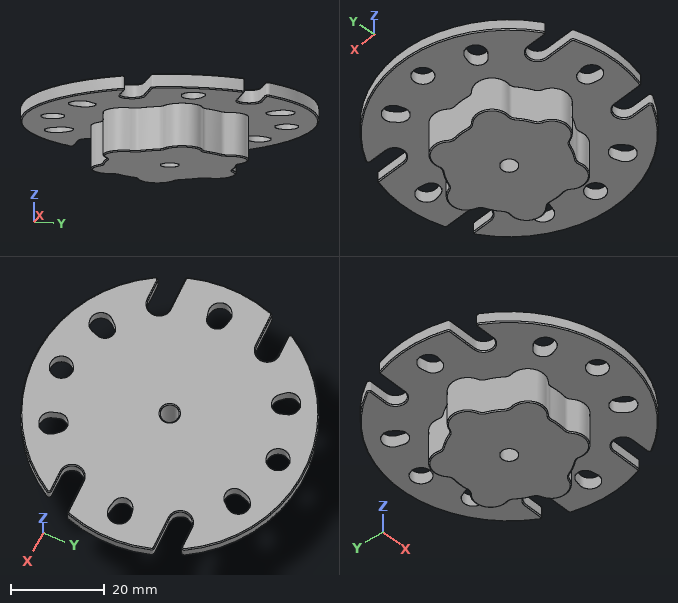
import math

import cadquery as cq

plate_radius = 31.75
plate_thickness = 3.175
total_height = 12.7
boss_height = total_height - plate_thickness
edge_chamfer = 0.254

lobe_count = 6
lobe_pitch = 360 / lobe_count
lobe_circle_radius = 13.1
lobe_radius = 4.36
hub_radius = 14.26
valley_fillet = 1.905

bolt_circle_radius = 25.4
bolt_hole_diameter = 5.08
inner_circle_radius = 24.0
inner_hole_diameter = 4.5
bolt_slot_angles = [i * 60 for i in range(6)]
round_hole_angles = [90, 270]
bore_diameter = 4.04

rim_slot_angles = [30, 150, 210, 330]
rim_slot_width = 5.08
rim_slot_mouth_fillet = 0.635


def polar(radius, angle):
    """Point at the given radius and angle in degrees."""
    turn = math.radians(angle)
    return (radius * math.cos(turn), radius * math.sin(turn))


def cylinder(center, diameter):
    """Vertical cutter through the plate."""
    return cq.Workplane("XY").center(*center).circle(diameter / 2).extrude(plate_thickness)


def rim_slot(angle):
    """Cutter running along X from a round end on the bolt circle out past the rim."""
    end_x, end_y = polar(bolt_circle_radius, angle)
    mouth_x = math.copysign(plate_radius, end_x)
    round_end = cylinder((end_x, end_y), rim_slot_width)
    mouth = (
        cq.Workplane("XY")
        .center((end_x + mouth_x) / 2, end_y)
        .rect(abs(mouth_x - end_x), rim_slot_width)
        .extrude(plate_thickness)
    )
    return round_end.union(mouth)


def make_plate():
    """Round plate with open rim slots, rounded slot mouths and chamfered outer edges."""
    plate = cq.Workplane("XY").circle(plate_radius).extrude(plate_thickness)
    for angle in rim_slot_angles:
        plate = plate.cut(rim_slot(angle))
    slot_end_x = polar(bolt_circle_radius, rim_slot_angles[0])[0]
    for side in (-1, 1):
        mouth_corners = cq.selectors.BoxSelector(
            (side * (slot_end_x + rim_slot_width / 2), -plate_radius, 0),
            (side * (plate_radius - edge_chamfer), plate_radius, plate_thickness),
        )
        plate = plate.edges("|Z").edges(mouth_corners).fillet(rim_slot_mouth_fillet)
    return plate.faces("<Z or >Z").chamfer(edge_chamfer)


def make_boss():
    """Six round lobes around a round hub, blended by concave fillets."""
    fillet_center_radius = hub_radius + valley_fillet
    lobe_to_fillet = lobe_radius + valley_fillet
    cosine = (fillet_center_radius**2 + lobe_circle_radius**2 - lobe_to_fillet**2) / (
        2 * fillet_center_radius * lobe_circle_radius
    )
    hub_end_angle = math.degrees(math.acos(cosine))
    fillet_x, fillet_y = polar(fillet_center_radius, hub_end_angle)
    flank_angle = math.degrees(math.atan2(fillet_y, fillet_x - lobe_circle_radius))
    flank_offset_x, flank_y = polar(lobe_radius, flank_angle)
    flank_x = lobe_circle_radius + flank_offset_x
    flank_radius = math.hypot(flank_x, flank_y)
    flank_end_angle = math.degrees(math.atan2(flank_y, flank_x))
    mid_offset_x, mid_offset_y = polar(valley_fillet, (hub_end_angle + flank_angle) / 2)
    mid_x = fillet_x - mid_offset_x
    mid_y = fillet_y - mid_offset_y
    mid_radius = math.hypot(mid_x, mid_y)
    mid_angle = math.degrees(math.atan2(mid_y, mid_x))

    outline = cq.Workplane("XY").moveTo(*polar(flank_radius, -flank_end_angle))
    for i in range(lobe_count):
        axis = i * lobe_pitch
        following = axis + lobe_pitch
        outline = outline.threePointArc(
            polar(lobe_circle_radius + lobe_radius, axis),
            polar(flank_radius, axis + flank_end_angle),
        )
        outline = outline.threePointArc(
            polar(mid_radius, axis + mid_angle),
            polar(hub_radius, axis + hub_end_angle),
        )
        outline = outline.threePointArc(
            polar(hub_radius, axis + lobe_pitch / 2),
            polar(hub_radius, following - hub_end_angle),
        )
        outline = outline.threePointArc(
            polar(mid_radius, following - mid_angle),
            polar(flank_radius, following - flank_end_angle),
        )
    boss = outline.close().extrude(-boss_height)
    return boss.faces("<Z").chamfer(edge_chamfer)


def bolt_slot(angle):
    """Teardrop cutter: a larger outer hole and a smaller inner one, joined by tangent sides."""
    outer_radius = bolt_hole_diameter / 2
    inner_radius = inner_hole_diameter / 2
    spacing = bolt_circle_radius - inner_circle_radius
    tangent_angle = math.degrees(math.acos((outer_radius - inner_radius) / spacing))
    outer_x, outer_y = polar(outer_radius, 180 - tangent_angle)
    inner_x, inner_y = polar(inner_radius, 180 - tangent_angle)
    return (
        cq.Workplane("XY")
        .moveTo(bolt_circle_radius + outer_x, -outer_y)
        .threePointArc(
            (bolt_circle_radius + outer_radius, 0),
            (bolt_circle_radius + outer_x, outer_y),
        )
        .lineTo(inner_circle_radius + inner_x, inner_y)
        .threePointArc(
            (inner_circle_radius - inner_radius, 0),
            (inner_circle_radius + inner_x, -inner_y),
        )
        .close()
        .extrude(plate_thickness)
        .rotate((0, 0, 0), (0, 0, 1), angle)
    )


def make_bore():
    """Cutter for the centre hole through the whole part, chamfered at the plate face."""
    bore_radius = bore_diameter / 2
    bore = (
        cq.Workplane("XY")
        .workplane(offset=-boss_height)
        .circle(bore_radius)
        .extrude(total_height)
    )
    countersink = cq.Solid.makeCone(
        bore_radius + edge_chamfer,
        bore_radius,
        edge_chamfer,
        pnt=cq.Vector(0, 0, plate_thickness),
        dir=cq.Vector(0, 0, -1),
    )
    return bore.union(cq.Workplane(countersink))


result = make_plate().union(make_boss())
for angle in bolt_slot_angles:
    result = result.cut(bolt_slot(angle))
for angle in round_hole_angles:
    result = result.cut(cylinder(polar(bolt_circle_radius, angle), bolt_hole_diameter))
result = result.cut(make_bore())